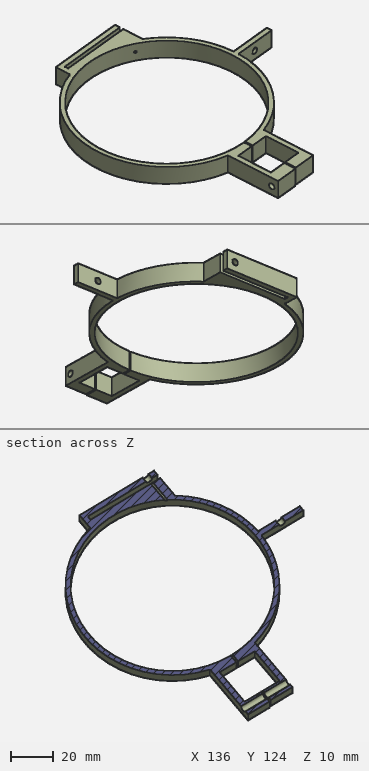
import cadquery as cq

total_length = 136.0
height = 10.0
outer_radius = 50.0
inner_radius = 47.5
wall = 3.0

tab_end_y = 74.0
tab_hole_y = 61.7

block_left_x = -57.0
block_top_y = 29.9
slot_width = 2.0
lip_hole_y = 25.0

window_size = 19.9
window_left_x = 52.2
clamp_half_width = window_size / 2 + wall
lower_jaw_end_x = block_left_x + total_length
upper_jaw_setback = 0.4
upper_jaw_end_x = lower_jaw_end_x - upper_jaw_setback
split_gap = 0.8
clamp_hole_x = 75.1

hole_diameter = 3.3
pilot_diameter = 1.0
mid_height = height / 2


def box(x_min, x_max, y_min, y_max):
    """Full-height block between the given X and Y limits."""
    size = (x_max - x_min, y_max - y_min, height)
    return cq.Workplane("XY").box(*size, centered=False).translate((x_min, y_min, 0))


def hole_along_x(x_start, x_end, y, diameter):
    """Cylinder pointing along +X at mid height."""
    plane = cq.Workplane("YZ", origin=(x_start, y, mid_height))
    return plane.circle(diameter / 2).extrude(x_end - x_start)


def hole_along_y(x, y_start, y_end, diameter):
    """Cylinder pointing along +Y at mid height."""
    plane = cq.Workplane("XZ", origin=(x, y_start, mid_height))
    return plane.circle(diameter / 2).extrude(y_start - y_end)


body = cq.Workplane("XY").circle(outer_radius).extrude(height)
body = body.union(box(-wall / 2, wall / 2, 0, tab_end_y))
body = body.union(box(block_left_x, 0, -clamp_half_width, block_top_y))
body = body.union(box(0, lower_jaw_end_x, -clamp_half_width, 0))
body = body.union(box(0, upper_jaw_end_x, 0, clamp_half_width))
body = body.cut(cq.Workplane("XY").circle(inner_radius).extrude(height))

slot_left_x = block_left_x + wall
slot_right_x = slot_left_x + slot_width
body = body.cut(box(slot_left_x, slot_right_x, -window_size / 2, block_top_y))

window_right_x = window_left_x + window_size
body = body.cut(box(window_left_x, window_right_x, -window_size / 2, window_size / 2))
body = body.cut(box(0, lower_jaw_end_x, -split_gap / 2, split_gap / 2))

body = body.cut(hole_along_x(-wall, wall, tab_hole_y, hole_diameter))
body = body.cut(hole_along_x(block_left_x, slot_right_x, lip_hole_y, hole_diameter))
body = body.cut(hole_along_x(slot_left_x, 0, lip_hole_y, pilot_diameter))
body = body.cut(hole_along_y(clamp_hole_x, -clamp_half_width, clamp_half_width, hole_diameter))

result = body